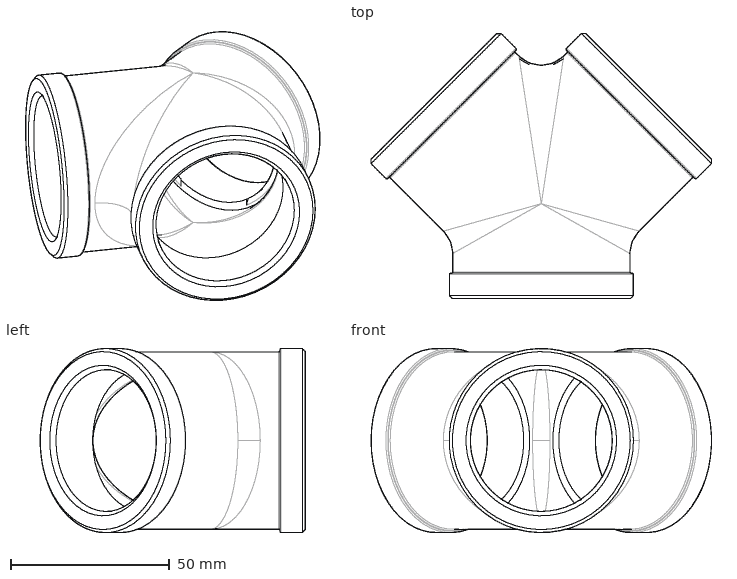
import cadquery as cq
import math

body_radius = 56.0 / 2
collar_radius = 58.1 / 2
collar_length = 8.1
rim_chamfer = 1.0
step_fillet = 0.4
outer_crease_fillet = 10.0

cavity_radius = 25.0
thread_radius = 22.4
thread_length = 17.7
mouth_chamfer = 1.4
inner_crease_fillet = 3.9

inlet_length = 30.0
branch_length = 47.9
arms = [(270, inlet_length), (45, branch_length), (135, branch_length)]


def revolve_about_arm(profile, angle):
    """Solid of revolution about an arm, from a profile of (distance along the arm, radius)."""
    return profile.revolve(360, (0, 0, 0), (1, 0, 0)).rotate((0, 0, 0), (0, 0, 1), angle)


def rounded_hub(radius, crease_fillet, end_inset):
    """Three equal cylinders from the hub, with the elliptical creases where they meet rounded.

    Each cylinder stops the given distance short of its arm's end face. Revolving puts its seam
    at mid height, clear of the points above and below the hub where all creases meet.
    """
    hub = cq.Workplane("XY")
    for angle, length in arms:
        profile = cq.Workplane("XY").rect(length - end_inset, radius, centered=False)
        hub = hub.union(revolve_about_arm(profile, angle), clean=False)
    return hub.edges("%ELLIPSE").fillet(crease_fillet)


def collar(angle, length):
    """Raised band at an arm's end: chamfered rim, and a rounded step down to the body."""
    back = length - collar_length
    arc_inset = step_fillet * (1 - math.sqrt(0.5))
    profile = (
        cq.Workplane("XY")
        .moveTo(back - step_fillet, 0)
        .lineTo(back - step_fillet, body_radius)
        .threePointArc((back - arc_inset, body_radius + arc_inset), (back, body_radius + step_fillet))
        .lineTo(back, collar_radius - step_fillet)
        .threePointArc((back + arc_inset, collar_radius - arc_inset), (back + step_fillet, collar_radius))
        .lineTo(length - rim_chamfer, collar_radius)
        .lineTo(length, collar_radius - rim_chamfer)
        .lineTo(length, 0)
        .close()
    )
    return revolve_about_arm(profile, angle)


def threaded_mouth(angle, length):
    """Narrower bore from the hub to an arm's end, widened by a chamfer at the end face."""
    profile = (
        cq.Workplane("XY")
        .lineTo(0, thread_radius)
        .lineTo(length - mouth_chamfer, thread_radius)
        .lineTo(length, thread_radius + mouth_chamfer)
        .lineTo(length, 0)
        .close()
    )
    return revolve_about_arm(profile, angle)


body = rounded_hub(body_radius, outer_crease_fillet, collar_length)
cavity = rounded_hub(cavity_radius, inner_crease_fillet, thread_length)
for angle, length in arms:
    body = body.union(collar(angle, length))
    cavity = cavity.union(threaded_mouth(angle, length))

result = body.cut(cavity).solids()